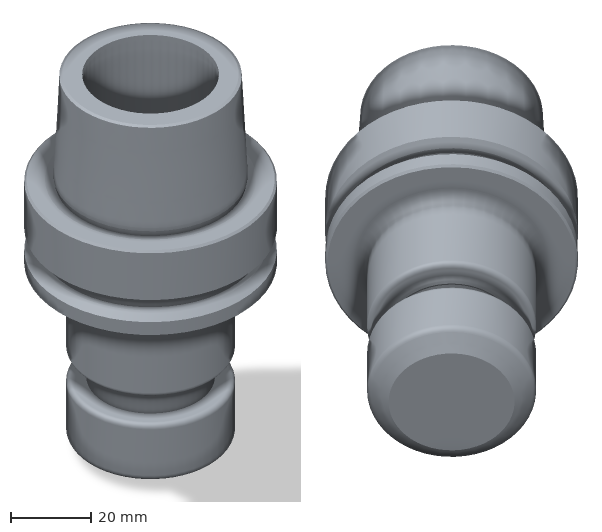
import cadquery as cq
import math

total_height = 112.0
shank_top_radius = 22.7
shank_base_radius = 24.2
shank_edge_width = 0.8
shank_edge_height = 0.3
shank_base_z = 82.2
shank_band_bottom_z = 81.2
undercut_radius = 23.9
bore_radius = 17.0

flange_radius = 31.5
flange_top_z = 80.2
flange_bottom_z = 54.2
flange_edge = 0.6
relief_outer_radius = 26.3
relief_depth = 0.7
groove_core_radius = 27.5
groove_lip_radius = 29.0
groove_upper_edge_z = 65.4
groove_top_z = 64.0
groove_bottom_z = 60.5
groove_lower_edge_z = 58.7

body_radius = 21.0
body_bottom_z = 28.5
body_blend = 3.0
edge_round = 1.3

collar_radius = 16.4
collar_bottom_z = 26.4
collar_blend = 1.0
neck_radius = 16.0

nut_top_z = 20.0
nose_radius = 15.7
nose_height = 3.6
nose_round = 2.0

bore_depth = total_height - flange_top_z

nose_run = body_radius - nose_radius
cone_angle = math.atan2(nose_height, nose_run)
nose_turn = math.pi / 2 - cone_angle
nose_tangent = nose_round * math.tan(nose_turn / 2)
nose_arc_start = (
    body_radius - nose_tangent * math.cos(cone_angle),
    nose_height - nose_tangent * math.sin(cone_angle),
)
nose_arc_end_z = nose_height + nose_tangent
nose_arc_middle = (
    body_radius - nose_round + nose_round * math.cos(nose_turn / 2),
    nose_arc_end_z - nose_round * math.sin(nose_turn / 2),
)


def quarter_arc(sketch, center, radius, middle_angle, end):
    """Add a quarter circle, given its centre and the direction of its midpoint in degrees."""
    angle = math.radians(middle_angle)
    middle = (center[0] + radius * math.cos(angle), center[1] + radius * math.sin(angle))
    return sketch.threePointArc(middle, end)


def add_nut(sketch):
    """Draw the nut from the centre of the nose up to the neck."""
    round_center = (body_radius - edge_round, nut_top_z - edge_round)
    sketch = sketch.lineTo(nose_radius, 0).lineTo(*nose_arc_start)
    sketch = sketch.threePointArc(nose_arc_middle, (body_radius, nose_arc_end_z))
    sketch = sketch.lineTo(body_radius, round_center[1])
    sketch = quarter_arc(sketch, round_center, edge_round, 45, (round_center[0], nut_top_z))
    return sketch.lineTo(neck_radius, nut_top_z)


def add_neck_and_body(sketch):
    """Draw the stepped neck and the body up to the underside of the flange."""
    collar_center = (collar_radius + collar_blend, body_bottom_z - collar_blend)
    edge_center = (body_radius - edge_round, body_bottom_z + edge_round)
    flange_center = (body_radius + body_blend, flange_bottom_z - body_blend)
    sketch = sketch.lineTo(neck_radius, collar_bottom_z).lineTo(collar_radius, collar_bottom_z)
    sketch = sketch.lineTo(collar_radius, collar_center[1])
    sketch = quarter_arc(sketch, collar_center, collar_blend, 135, (collar_center[0], body_bottom_z))
    sketch = sketch.lineTo(edge_center[0], body_bottom_z)
    sketch = quarter_arc(sketch, edge_center, edge_round, -45, (body_radius, edge_center[1]))
    sketch = sketch.lineTo(body_radius, flange_center[1])
    return quarter_arc(sketch, flange_center, body_blend, 135, (flange_center[0], flange_bottom_z))


def add_flange(sketch):
    """Draw the flange, its gripper groove and the relief sunk into its top face."""
    return (
        sketch.lineTo(flange_radius - flange_edge, flange_bottom_z)
        .lineTo(flange_radius, flange_bottom_z + flange_edge)
        .lineTo(flange_radius, groove_lower_edge_z)
        .lineTo(groove_lip_radius, groove_bottom_z)
        .lineTo(groove_core_radius, groove_bottom_z)
        .lineTo(groove_core_radius, groove_top_z)
        .lineTo(groove_lip_radius, groove_top_z)
        .lineTo(flange_radius, groove_upper_edge_z)
        .lineTo(flange_radius, flange_top_z - flange_edge)
        .lineTo(flange_radius - flange_edge, flange_top_z)
        .lineTo(relief_outer_radius, flange_top_z)
        .lineTo(undercut_radius, flange_top_z - relief_depth)
    )


def add_shank(sketch):
    """Draw the undercut and taper shank up to the centre of the top face."""
    return (
        sketch.lineTo(undercut_radius, shank_band_bottom_z)
        .lineTo(shank_base_radius, shank_band_bottom_z)
        .lineTo(shank_base_radius, shank_base_z)
        .lineTo(shank_top_radius, total_height - shank_edge_height)
        .lineTo(shank_top_radius - shank_edge_width, total_height)
        .lineTo(0, total_height)
    )


profile = cq.Workplane("XZ").moveTo(0, 0)
profile = add_nut(profile)
profile = add_neck_and_body(profile)
profile = add_flange(profile)
profile = add_shank(profile)
holder = profile.close().revolve(360, (0, 0, 0), (0, 1, 0))

bore = cq.Workplane("XY").workplane(offset=total_height - bore_depth).circle(bore_radius).extrude(bore_depth)
result = holder.cut(bore)